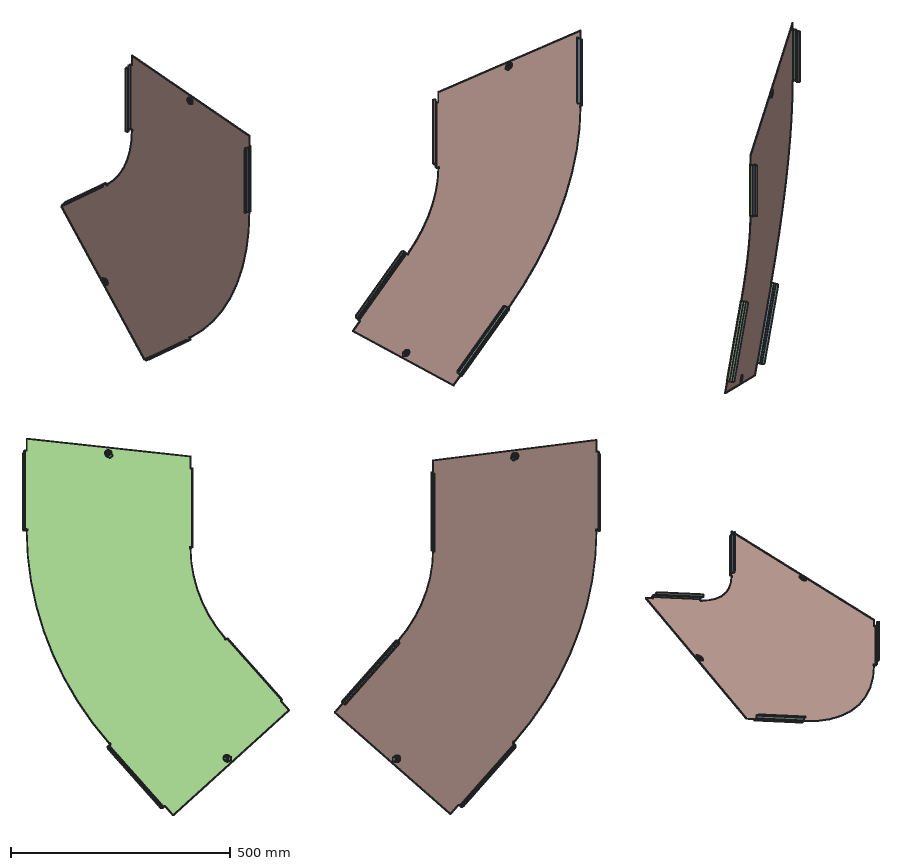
import cadquery as cq
import math

SHEET = 1.25
WIDTH = 398.0
INNER_RADIUS = 298.0
OUTER_RADIUS = INNER_RADIUS + WIDTH
BEND_ANGLE = 45.0
UPPER_LEG = 218.44
LOWER_LEG = 215.0

FLANGE_REACH = 4.6
FLANGE_DEPTH = 17.63
FLANGE_START = 28.5
FLANGE_LENGTH = 188.0
GROOVE_INSET = 3.6
GROOVE_TOP = 7.0
GROOVE_BOTTOM = 12.0
LIP_INSET = 1.5
LIP_CHAMFER = 3.0
RELIEF_LENGTH = 3.0
RELIEF_DEPTH = 2.0
RELIEF_CUT = 3 * SHEET

LATCH_OFFSET = 14.0
LATCH_DIAMETER = 17.0
LATCH_HEIGHT = 1.5
LATCH_TAB_WIDTH = 10.0
LATCH_TAB_REACH = 10.0
LATCH_TAB_ANGLE = 225.0
LATCH_CORE_DIAMETER = 9.0
LATCH_CORE_HEIGHT = 2.0
LATCH_SLOT_WIDTH = 1.5
LATCH_SLOT_DEPTH = 1.0

MID_RADIUS = (INNER_RADIUS + OUTER_RADIUS) / 2


def front_plane(y):
    """Workplane facing -Y at height y, with local axes X and Z."""
    return cq.Workplane("XZ", origin=(0, y, 0))


def turned(body, angle):
    """Rotate clockwise, as seen from -Y, about the bend centre."""
    return body.rotate((0, 0, 0), (0, 1, 0), angle)


def on_bend(radius, angle, along=0.0):
    """Point at a bend angle and radius, moved along the leg beyond the bend."""
    a = math.radians(angle)
    return (
        radius * math.cos(a) - along * math.sin(a),
        -radius * math.sin(a) - along * math.cos(a),
    )


def make_sheet():
    half = BEND_ANGLE / 2
    return (
        front_plane(0)
        .moveTo(INNER_RADIUS, UPPER_LEG)
        .lineTo(OUTER_RADIUS, UPPER_LEG)
        .lineTo(OUTER_RADIUS, 0)
        .threePointArc(on_bend(OUTER_RADIUS, half), on_bend(OUTER_RADIUS, BEND_ANGLE))
        .lineTo(*on_bend(OUTER_RADIUS, BEND_ANGLE, LOWER_LEG))
        .lineTo(*on_bend(INNER_RADIUS, BEND_ANGLE, LOWER_LEG))
        .lineTo(*on_bend(INNER_RADIUS, BEND_ANGLE))
        .threePointArc(on_bend(INNER_RADIUS, half), (INNER_RADIUS, 0))
        .close()
        .extrude(SHEET)
    )


def mitred_offset(path, distance):
    """Copy of an open path moved to its right by a distance, with mitred corners."""
    headings = [math.atan2(y1 - y0, x1 - x0) for (x0, y0), (x1, y1) in zip(path, path[1:])]
    before = headings[:1] + headings
    after = headings + headings[-1:]
    moved = []
    for (x, y), h0, h1 in zip(path, before, after):
        direction = (h0 + h1) / 2
        reach = distance / math.cos((h1 - h0) / 2)
        moved.append((x + reach * math.sin(direction), y - reach * math.cos(direction)))
    return moved


def make_flange(edge, outward, bottom, top):
    """Clip flange from z = bottom to top on the sheet edge at x = edge."""
    outer_path = [
        (0, 0),
        (FLANGE_REACH, 0),
        (FLANGE_REACH, -GROOVE_TOP),
        (FLANGE_REACH - GROOVE_INSET, -GROOVE_BOTTOM),
        (FLANGE_REACH - LIP_INSET, -FLANGE_DEPTH),
    ]
    outline = outer_path + mitred_offset(outer_path, SHEET)[::-1]
    strip = (
        cq.Workplane("XY", origin=(edge, 0, bottom))
        .polyline([(outward * x, y) for x, y in outline])
        .close()
        .extrude(top - bottom)
    )
    side = (
        cq.Workplane("YZ", origin=(edge, 0, 0))
        .moveTo(0, bottom)
        .lineTo(0, top)
        .lineTo(LIP_CHAMFER - FLANGE_DEPTH, top)
        .lineTo(-FLANGE_DEPTH, top - LIP_CHAMFER)
        .lineTo(-FLANGE_DEPTH, bottom + LIP_CHAMFER)
        .lineTo(LIP_CHAMFER - FLANGE_DEPTH, bottom)
        .close()
        .extrude(2 * FLANGE_DEPTH, both=True)
    )
    return strip.intersect(side)


def make_relief(edge, bottom):
    """Cutter for a notch in the sheet edge, RELIEF_LENGTH long from z = bottom."""
    return (
        front_plane(SHEET)
        .center(edge, bottom + RELIEF_LENGTH / 2)
        .rect(2 * RELIEF_DEPTH, RELIEF_LENGTH)
        .extrude(RELIEF_CUT)
    )


def make_latch(z):
    """Flat round latch head with a slotted raised core and a square tab on one side."""
    seat = front_plane(-SHEET).center(MID_RADIUS, z)
    turned_seat = seat.transformed(rotate=(0, 0, LATCH_TAB_ANGLE))
    head = seat.circle(LATCH_DIAMETER / 2).extrude(LATCH_HEIGHT)
    tab = (
        turned_seat.center(LATCH_TAB_REACH / 2, 0)
        .rect(LATCH_TAB_REACH, LATCH_TAB_WIDTH)
        .extrude(LATCH_HEIGHT)
    )
    core = seat.circle(LATCH_CORE_DIAMETER / 2).extrude(LATCH_CORE_HEIGHT)
    slot = (
        turned_seat.workplane(offset=LATCH_CORE_HEIGHT - LATCH_SLOT_DEPTH)
        .rect(LATCH_SLOT_WIDTH, LATCH_CORE_DIAMETER)
        .extrude(LATCH_SLOT_DEPTH)
    )
    return head.union(tab).union(core).cut(slot)


upper_top = UPPER_LEG - FLANGE_START
upper_bottom = upper_top - FLANGE_LENGTH
lower_bottom = FLANGE_START - LOWER_LEG
lower_top = lower_bottom + FLANGE_LENGTH

result = make_sheet()
for edge, outward in ((INNER_RADIUS, -1), (OUTER_RADIUS, 1)):
    upper_flange = make_flange(edge, outward, upper_bottom, upper_top)
    lower_flange = make_flange(edge, outward, lower_bottom, lower_top)
    upper_relief = make_relief(edge, upper_bottom - RELIEF_LENGTH)
    lower_relief = make_relief(edge, lower_top)
    result = result.cut(upper_relief).union(upper_flange)
    result = result.cut(turned(lower_relief, BEND_ANGLE)).union(turned(lower_flange, BEND_ANGLE))

upper_latch = make_latch(UPPER_LEG - LATCH_OFFSET)
lower_latch = make_latch(LATCH_OFFSET - LOWER_LEG)
result = result.union(upper_latch).union(turned(lower_latch, BEND_ANGLE))